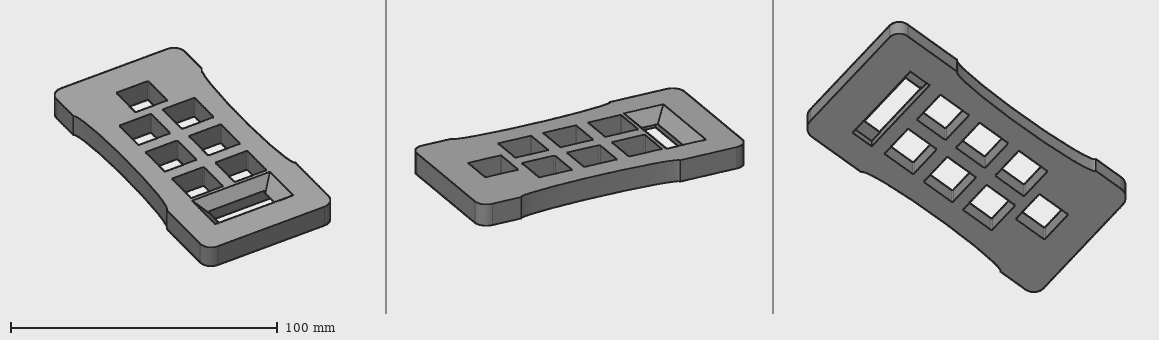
import cadquery as cq

LENGTH = 113.4
WIDTH = 56.4
THICKNESS = 9.0
CORNER_RADIUS = 4.9

GRIP_CENTER_X = -5.9
GRIP_HALF_LENGTH = 33.7
GRIP_DEPTH = 3.0

KEY_SIZE = 14.0
KEY_CORNER_RADIUS = 0.3
KEY_PITCH = 19.0
KEY_COLUMNS = 3
KEY_ROWS = 2
KEY_GRID_X = 0.2
SINGLE_KEY_X = -36.6

WINDOW_CENTER_X = 36.2
WINDOW_LENGTH = 16.8
WINDOW_WIDTH = 34.1
WINDOW_INSET = 5.0
SLOT_MIN_X = 32.0
SLOT_MAX_X = WINDOW_CENTER_X + WINDOW_LENGTH / 2 - WINDOW_INSET
POCKET_OVERHANG_X = 1.7
POCKET_HEIGHT = THICKNESS - WINDOW_INSET


def make_plate():
    plate = cq.Workplane("XY").box(LENGTH, WIDTH, THICKNESS, centered=(True, True, False))
    return plate.edges("|Z").fillet(CORNER_RADIUS)


def make_grip_hollows():
    return (
        cq.Workplane("XY")
        .pushPoints([(GRIP_CENTER_X, side * WIDTH / 2) for side in (-1, 1)])
        .ellipse(GRIP_HALF_LENGTH, GRIP_DEPTH)
        .extrude(THICKNESS)
    )


def make_key_openings():
    centers = [(SINGLE_KEY_X, 0)]
    for column in range(KEY_COLUMNS):
        for row in range(KEY_ROWS):
            x = KEY_GRID_X + (column - (KEY_COLUMNS - 1) / 2) * KEY_PITCH
            y = (row - (KEY_ROWS - 1) / 2) * KEY_PITCH
            centers.append((x, y))
    openings = cq.Workplane("XY").pushPoints(centers).rect(KEY_SIZE, KEY_SIZE).extrude(THICKNESS)
    return openings.edges("|Z").fillet(KEY_CORNER_RADIUS)


def make_block(min_x, max_x, width, height):
    """Block standing on the bottom plane, centered on the X axis."""
    block = cq.Workplane("XY").box(max_x - min_x, width, height, centered=(False, True, False))
    return block.translate((min_x, 0, 0))


def make_window():
    floor_length = WINDOW_LENGTH - 2 * WINDOW_INSET
    floor_width = WINDOW_WIDTH - 2 * WINDOW_INSET
    funnel = (
        cq.Workplane("XY", origin=(WINDOW_CENTER_X, 0, THICKNESS))
        .rect(WINDOW_LENGTH, WINDOW_WIDTH)
        .workplane(offset=-WINDOW_INSET)
        .rect(floor_length, floor_width)
        .loft(ruled=True)
    )
    slot = make_block(SLOT_MIN_X, SLOT_MAX_X, floor_width, THICKNESS)
    pocket = make_block(SLOT_MIN_X, SLOT_MAX_X + POCKET_OVERHANG_X, WINDOW_WIDTH, POCKET_HEIGHT)
    return funnel.union(slot).union(pocket)


result = make_plate().cut(make_grip_hollows()).cut(make_key_openings()).cut(make_window())